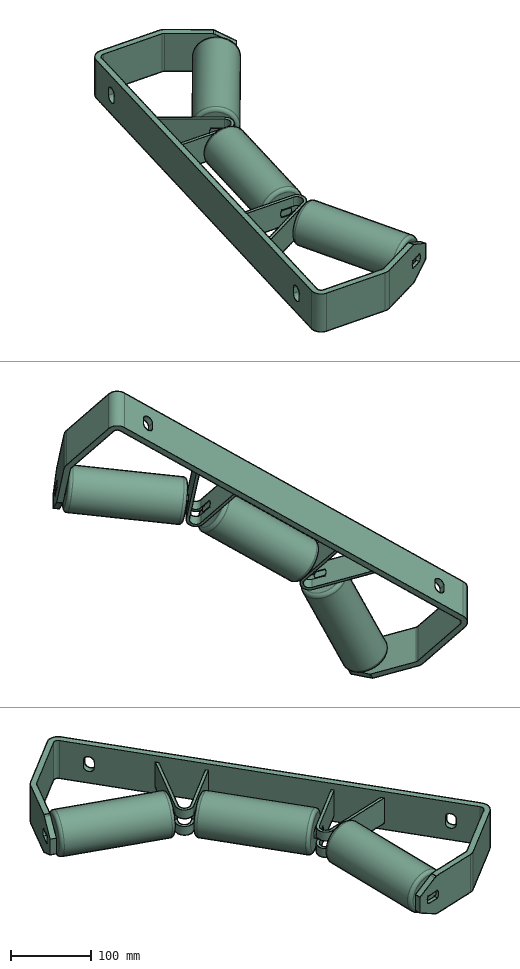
import cadquery as cq
import math

FRAME_LENGTH = 570.0
FRAME_DEPTH = 183.01
FRAME_HEIGHT = 60.0
TROUGH_ANGLE = math.radians(30)

BAR_THICKNESS = 8.0
BAR_INNER_BEND = 6.0
BAR_OUTER_BEND = BAR_INNER_BEND + BAR_THICKNESS
ARM_STRAIGHT = 90.0
TIP_WIDTH = 25.0
TIP_TAPER_LENGTH = 29.0
TIP_TAPER_ROUND = 10.0
MOUNT_SLOT_LENGTH = 23.0
MOUNT_SLOT_WIDTH = 14.0
MOUNT_SLOT_EDGE = 52.0
ARM_SLOT_LENGTH = 20.0
ARM_SLOT_FROM_TIP = 23.3

ROLLER_DIAMETER = 60.0
ROLLER_LENGTH = 150.0
ROLLER_ROUND = 5.0
ROLLER_GAP = 4.0
AXIS_FROM_TIP = 25.0
ROLLER_HEIGHT = 71.0
SHAFT_DIAMETER = 16.0
SHAFT_STUB = 3.0
TANG_THICKNESS = 10.0
TANG_ENGAGEMENT = 4.0

BRACKET_THICKNESS = 4.0
BRACKET_HEIGHT = 40.0
BRACKET_INNER_BEND = 8.0
BRACKET_OUTER_BEND = BRACKET_INNER_BEND + BRACKET_THICKNESS
SLOT_WIDTH = 12.0
SLOT_END_RISE = 2.0
BRACKET_SLOT_TOP = 30.0

SUPPORT_REACH = ROLLER_LENGTH / 2 + ROLLER_GAP
TANG_REACH = SUPPORT_REACH + TANG_ENGAGEMENT
COS = math.cos(TROUGH_ANGLE)
SIN = math.sin(TROUGH_ANGLE)
TAN = math.tan(TROUGH_ANGLE)

ARM_DIRECTION = cq.Vector(SIN, COS)
ARM_INWARD = cq.Vector(COS, -SIN)

ARM_LENGTH = ARM_STRAIGHT + BAR_OUTER_BEND * math.tan(TROUGH_ANGLE / 2)
BEND_CORNER = cq.Vector(-FRAME_LENGTH / 2, FRAME_DEPTH - ARM_LENGTH * COS)
ARM_TIP = BEND_CORNER + ARM_DIRECTION * ARM_LENGTH

LEG_OFFSET = BAR_THICKNESS + 2 * SUPPORT_REACH


def leg_face_x(y, offset):
    """X of the line parallel to the left arm's outer face, offset inward, at height y."""
    return BEND_CORNER.x + (y - BEND_CORNER.y) * TAN + offset / COS


def mirrored(body):
    """The matching body on the right-hand side."""
    return body.mirror("YZ")


def fillet_corner(body, corner, radius):
    """Round the upright edge that stands at an XY corner."""
    nearest = cq.selectors.NearestToPointSelector((corner[0], corner[1], 0))
    return body.edges("|Z").edges(nearest).fillet(radius)


def slot_cutter(bottom, top, depth):
    """Shaft slot along Y with shallow arched ends, extruded along X from 0 to depth."""
    half_width = SLOT_WIDTH / 2
    low_shoulder = bottom + SLOT_END_RISE
    high_shoulder = top - SLOT_END_RISE
    return (
        cq.Workplane("YZ")
        .moveTo(low_shoulder, -half_width)
        .lineTo(high_shoulder, -half_width)
        .threePointArc((top, 0), (high_shoulder, half_width))
        .lineTo(low_shoulder, half_width)
        .threePointArc((bottom, 0), (low_shoulder, -half_width))
        .close()
        .extrude(depth)
    )


side_axis_point = ARM_TIP - ARM_DIRECTION * AXIS_FROM_TIP
side_center = side_axis_point + ARM_INWARD * (BAR_THICKNESS + SUPPORT_REACH)
SIDE_ROLLER_PLANE = cq.Plane(side_center, xDir=ARM_INWARD, normal=(0, 0, 1))
CENTER_ROLLER_PLANE = cq.Plane((0, ROLLER_HEIGHT, 0))


def place(body, plane):
    """Move a body built about the origin into a roller's local axes."""
    return cq.Workplane(body.val().moved(plane.location))


def bar_outline(offset):
    """Left half of the bent bar's path, offset inward, from the base to the arm tip."""
    side_x = -FRAME_LENGTH / 2 + offset
    bend_y = BEND_CORNER.y - offset * math.tan(TROUGH_ANGLE / 2)
    tip = ARM_TIP + ARM_INWARD * offset
    return [(side_x, offset), (side_x, bend_y), (tip.x, tip.y)]


def bent_bar():
    outer = bar_outline(0)
    inner = bar_outline(BAR_THICKNESS)
    left = outer + inner[::-1]
    right = [(-x, y) for x, y in left[::-1]]
    bar = cq.Workplane("XY").polyline(left + right).close().extrude(FRAME_HEIGHT / 2, both=True)
    for corners, radius in ((outer[:2], BAR_OUTER_BEND), (inner[:2], BAR_INNER_BEND)):
        for x, y in corners:
            for side in (1, -1):
                bar = fillet_corner(bar, (side * x, y), radius)
    return bar


def tip_trim():
    """Material removed beside the tapered arm tip, above and below the shaft slot."""
    far = 2 * TIP_TAPER_LENGTH
    tip_y = AXIS_FROM_TIP
    full_y = tip_y - TIP_TAPER_LENGTH
    blank = cq.Workplane("YZ").rect(far, 2 * FRAME_HEIGHT).extrude(BAR_THICKNESS)
    blank = blank.translate((0, tip_y, 0))
    kept = (
        cq.Workplane("YZ")
        .polyline([
            (tip_y, -TIP_WIDTH / 2), (tip_y, TIP_WIDTH / 2),
            (full_y, FRAME_HEIGHT / 2), (full_y - far, FRAME_HEIGHT / 2),
            (full_y - far, -FRAME_HEIGHT / 2), (full_y, -FRAME_HEIGHT / 2),
        ])
        .close()
        .extrude(BAR_THICKNESS)
    )
    for side in (1, -1):
        shoulder = cq.selectors.NearestToPointSelector(
            (BAR_THICKNESS / 2, full_y, side * FRAME_HEIGHT / 2))
        kept = kept.edges("|X").edges(shoulder).fillet(TIP_TAPER_ROUND)
    return blank.cut(kept)


def make_frame():
    frame = bent_bar()

    slot_top = AXIS_FROM_TIP - ARM_SLOT_FROM_TIP + ARM_SLOT_LENGTH / 2
    arm_slot = slot_cutter(slot_top - ARM_SLOT_LENGTH, slot_top, BAR_THICKNESS)
    arm_cuts = tip_trim().union(arm_slot)
    arm_cuts = place(arm_cuts.translate((-SUPPORT_REACH - BAR_THICKNESS, 0, 0)), SIDE_ROLLER_PLANE)

    mount_x = FRAME_LENGTH / 2 - MOUNT_SLOT_EDGE
    mount_slots = (
        cq.Workplane("XZ")
        .pushPoints([(-mount_x, 0), (mount_x, 0)])
        .slot2D(MOUNT_SLOT_LENGTH, MOUNT_SLOT_WIDTH, 90)
        .extrude(-BAR_THICKNESS)
    )
    return frame.cut(arm_cuts).cut(mirrored(arm_cuts)).cut(mount_slots)


def make_roller(plane):
    shell = (
        cq.Workplane("YZ").circle(ROLLER_DIAMETER / 2).extrude(ROLLER_LENGTH)
        .translate((-ROLLER_LENGTH / 2, 0, 0))
        .edges().fillet(ROLLER_ROUND)
    )
    stub_reach = ROLLER_LENGTH / 2 + SHAFT_STUB
    stub = cq.Workplane("YZ").circle(SHAFT_DIAMETER / 2).extrude(stub_reach, both=True)
    flats = cq.Workplane("XY").box(2 * TANG_REACH, SHAFT_DIAMETER, TANG_THICKNESS)
    full_shaft = cq.Workplane("YZ").circle(SHAFT_DIAMETER / 2).extrude(TANG_REACH, both=True)
    tangs = full_shaft.intersect(flats)
    return place(shell.union(stub).union(tangs), plane)


def bracket_outline(offset):
    """Foot, apex and foot of the V, offset inward from its outer faces."""
    upright_x = -SUPPORT_REACH - offset
    leg_offset = LEG_OFFSET + offset
    apex_y = BEND_CORNER.y + (upright_x - leg_face_x(BEND_CORNER.y, leg_offset)) / TAN
    return [
        (leg_face_x(BAR_THICKNESS, leg_offset), BAR_THICKNESS),
        (upright_x, apex_y),
        (upright_x, BAR_THICKNESS),
    ]


def make_left_bracket():
    outer = bracket_outline(0)
    inner = bracket_outline(BRACKET_THICKNESS)
    bracket = (
        cq.Workplane("XY").polyline(outer + inner[::-1]).close()
        .extrude(BRACKET_HEIGHT / 2, both=True)
    )
    bracket = fillet_corner(bracket, outer[1], BRACKET_OUTER_BEND)
    bracket = fillet_corner(bracket, inner[1], BRACKET_INNER_BEND)

    slot = slot_cutter(-SHAFT_DIAMETER / 2, BRACKET_SLOT_TOP, BRACKET_OUTER_BEND)
    upright_slot = slot.translate((-SUPPORT_REACH - BRACKET_OUTER_BEND, 0, 0))
    sloping_slot = slot.translate((SUPPORT_REACH, 0, 0))
    return (
        bracket
        .cut(place(upright_slot, CENTER_ROLLER_PLANE))
        .cut(place(sloping_slot, SIDE_ROLLER_PLANE))
    )


frame = make_frame()

left_roller = make_roller(SIDE_ROLLER_PLANE)
rollers = [make_roller(CENTER_ROLLER_PLANE), left_roller, mirrored(left_roller)]

left_bracket = make_left_bracket()
brackets = [left_bracket, mirrored(left_bracket)]

result = cq.Compound.makeCompound([body.val() for body in [frame, *rollers, *brackets]])